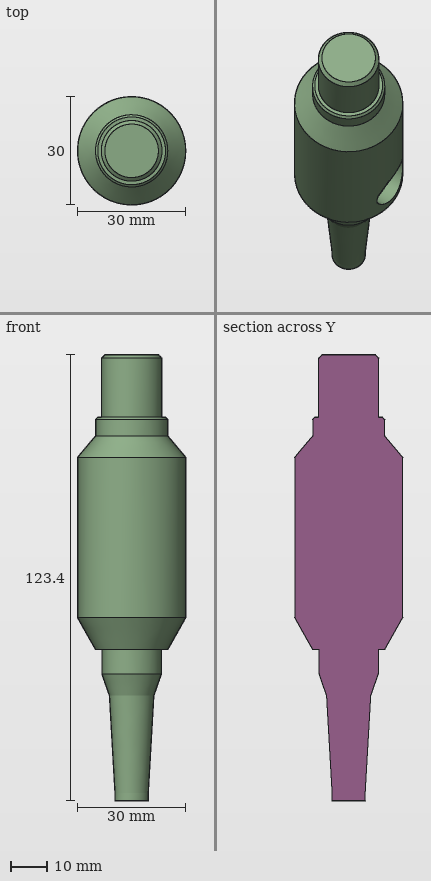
import cadquery as cq

tip_diameter = 9.3
taper_diameter = 12.3
neck_diameter = 16.5
collar_diameter = 20.0
body_diameter = 30.0
plug_diameter = 16.8

tip_top = 2.1
taper_top = 29.1
neck_bottom = 35.2
neck_top = 41.8
body_bottom = 50.7
body_top = 95.0
collar_bottom = 101.0
collar_top = 106.1
plug_top = 123.4

collar_chamfer = 0.6
plug_chamfer = 1.0

recess_diameter = 13.8
recess_height = 59.8
recess_depth = 3.7


def turned_body():
    """Revolve the half outline, given as (diameter, height) steps, about Z."""
    steps = [
        (0, 0),
        (tip_diameter, 0),
        (tip_diameter, tip_top),
        (taper_diameter, taper_top),
        (neck_diameter, neck_bottom),
        (neck_diameter, neck_top),
        (collar_diameter, neck_top),
        (body_diameter, body_bottom),
        (body_diameter, body_top),
        (collar_diameter, collar_bottom),
        (collar_diameter, collar_top - collar_chamfer),
        (collar_diameter - 2 * collar_chamfer, collar_top),
        (plug_diameter, collar_top),
        (plug_diameter, plug_top - plug_chamfer),
        (plug_diameter - 2 * plug_chamfer, plug_top),
        (0, plug_top),
    ]
    outline = [(diameter / 2, height) for diameter, height in steps]
    return cq.Workplane("XZ").polyline(outline).close().revolve(360, (0, 0), (0, 1))


def recess_cutter():
    """Cylinder along Y reaching inward from the back of the body."""
    return (
        cq.Workplane("XZ", origin=(0, body_diameter / 2, recess_height))
        .circle(recess_diameter / 2)
        .extrude(recess_depth)
    )


result = turned_body().cut(recess_cutter())